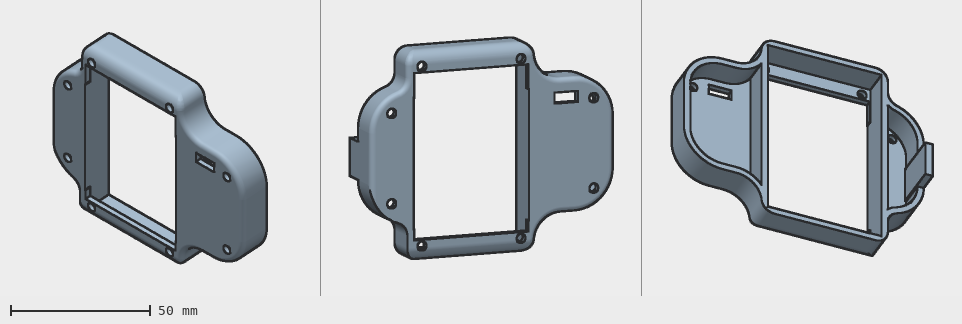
import cadquery as cq
import math


overall_width = 94.0
body_depth = 12.5
wall = 2.5
edge_radius = 2.0

frame_half_width = 24.75
frame_half_height = 38.25
frame_corner_radius = 5.0
frame_round_radius = 5.0

lobe_radius = 15.0
lobe_half_flat = 9.5
lobe_half_height = lobe_half_flat + lobe_radius
left_x = -38.8
right_x = left_x + overall_width
left_neck_radius = 5.0
right_neck_radius = 10.0
join_tolerance = 1e-6

window_width = 44.0
window_height = 61.0
notch_width = 2 * (frame_half_width - wall)
notch_top = 21.5
notch_bottom = -26.5

slot_left = 32.1
slot_bottom = 15.4
slot_width = 8.9
slot_height = 4.0

hole_diameter = 3.4
frame_hole_x = 19.1
frame_hole_z = 32.75
lobe_hole_left_x = -30.75
lobe_hole_right_x = 47.2
lobe_hole_z = 16.5

tab_thickness = 3.0
tab_length = 8.0
tab_height = 14.0
tab_bottom = -lobe_half_flat


def block(x_min, x_max, y_min, y_max, z_min, z_max):
    """Axis-aligned box between two opposite corners."""
    size = (x_max - x_min, y_max - y_min, z_max - z_min)
    return cq.Workplane("XY").box(*size, centered=False).translate((x_min, y_min, z_min))


def extrude_back(sketch, depth):
    """Extrude a sketch drawn in XZ toward +Y."""
    return sketch.extrude(-depth)


def on_circle(center, radius, angle):
    """Point on a circle at an angle in radians."""
    return (center[0] + radius * math.cos(angle), center[1] + radius * math.sin(angle))


def arc_points(center, radius, start, end):
    """Middle and end points of an arc between two angles."""
    return on_circle(center, radius, (start + end) / 2), on_circle(center, radius, end)


def outline():
    """Closed outer contour, with necks tangent to the frame and to the lobes."""
    quarter = math.pi / 2
    corner_x = frame_half_width - frame_corner_radius
    corner_z = frame_half_height - frame_corner_radius

    neck_z = lobe_half_height + right_neck_radius
    centers_apart = frame_corner_radius + right_neck_radius
    right_angle = math.asin((neck_z - corner_z) / centers_apart)
    neck_x = corner_x + centers_apart * math.cos(right_angle)

    left_neck_x = -frame_half_width - left_neck_radius
    left_lobe_x = left_x + lobe_radius
    left_angle = math.acos((left_neck_x - left_lobe_x) / (lobe_radius + left_neck_radius))
    left_neck_z = lobe_half_flat + (lobe_radius + left_neck_radius) * math.sin(left_angle)

    right_lobe = (right_x - lobe_radius, lobe_half_flat)
    left_lobe = (left_lobe_x, lobe_half_flat)
    upper_arcs = [
        (left_lobe, lobe_radius, math.pi, left_angle),
        ((left_neck_x, left_neck_z), left_neck_radius, left_angle - math.pi, 0),
        ((-corner_x, corner_z), frame_corner_radius, math.pi, quarter),
        ((corner_x, corner_z), frame_corner_radius, quarter, right_angle),
        ((neck_x, neck_z), right_neck_radius, math.pi + right_angle, 3 * quarter),
        (right_lobe, lobe_radius, quarter, 0),
    ]
    lower_arcs = [
        ((center[0], -center[1]), radius, -end, -start)
        for center, radius, start, end in reversed(upper_arcs)
    ]

    pen = on_circle(left_lobe, lobe_radius, math.pi)
    sketch = cq.Workplane("XZ").moveTo(*pen)
    for center, radius, start, end in upper_arcs + lower_arcs:
        arc_start = on_circle(center, radius, start)
        if math.dist(pen, arc_start) > join_tolerance:
            sketch = sketch.lineTo(*arc_start)
        middle, pen = arc_points(center, radius, start, end)
        sketch = sketch.threePointArc(middle, pen)
    return sketch.close()


def outer_body():
    """Solid body with its rounded front edges."""
    envelope = block(left_x, right_x, 0, body_depth, -frame_half_height, frame_half_height)
    envelope = envelope.faces("<Y").edges("|X").fillet(frame_round_radius)
    plain = extrude_back(outline(), body_depth).intersect(envelope)

    rounded = plain
    for side_x in (left_x, right_x):
        rounded = rounded.edges(cq.selectors.NearestToPointSelector((side_x, 0, 0))).fillet(edge_radius)

    lower_left = block(left_x, 0, 0, body_depth, -frame_half_height, -lobe_half_flat)
    straight_rim = lower_left.edges("|Z and <X and <Y").fillet(edge_radius)
    return rounded.cut(lower_left).union(plain.intersect(straight_rim))


def frame_cavity():
    """Room behind the front plate, inside the frame walls."""
    half_width = frame_half_width - wall
    half_height = frame_half_height - wall
    return block(-half_width, half_width, wall, body_depth, -half_height, half_height)


def lobe_cavities():
    """Rooms behind the front plate in both lobes, outside the frame side walls."""
    inside = extrude_back(outline().offset2D(-wall), body_depth - wall).translate((0, wall, 0))
    frame = block(
        -frame_half_width, frame_half_width, 0, body_depth, -frame_half_height, frame_half_height
    )
    return inside.cut(frame)


def window():
    """Display opening with its shallow side notches."""
    opening = cq.Workplane("XZ").rect(window_width, window_height)
    half_notch = notch_width / 2
    notches = block(-half_notch, half_notch, 0, wall, notch_bottom, notch_top)
    return extrude_back(opening, wall).union(notches)


def switch_slot():
    """Rectangular slot for the power switch."""
    return block(slot_left, slot_left + slot_width, 0, wall, slot_bottom, slot_bottom + slot_height)


def screw_holes():
    """Through holes at the frame corners and in the lobes."""
    upper = [
        (-frame_hole_x, frame_hole_z),
        (frame_hole_x, frame_hole_z),
        (lobe_hole_left_x, lobe_hole_z),
        (lobe_hole_right_x, lobe_hole_z),
    ]
    lower = [(x, -z) for x, z in upper]
    return extrude_back(cq.Workplane("XZ").pushPoints(upper + lower).circle(hole_diameter / 2), wall)


def tab():
    """Flat tab continuing the left wall past the back face, rooted on the front plate."""
    return block(
        left_x, left_x + tab_thickness, wall, body_depth + tab_length, tab_bottom, tab_bottom + tab_height
    )


result = outer_body().cut(frame_cavity()).cut(lobe_cavities())
result = result.cut(window()).cut(switch_slot()).cut(screw_holes()).union(tab())